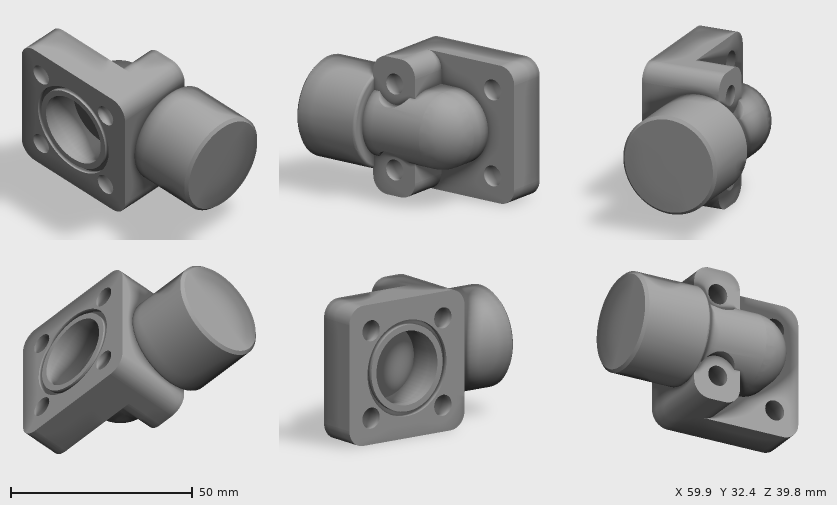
import cadquery as cq

flange_side = 39.8
flange_thickness = 11.55
corner_radius = 4.85
flange_center_x = flange_side / 2

block_start_x = 25.3
block_depth = 23.5

pipe_radius = 10.85
pipe_axis_y = 18.0

outlet_start_x = 39.5
outlet_end_x = 59.9
outlet_radius = 14.4
outlet_chamfer = 0.85
outlet_rounding = 0.8

hole_spacing = 24.8
hole_diameter = 6
spot_face_radius = 6

bore_radius = 10.55
bore_depth = 10.8
groove_outer_radius = 13.65
groove_inner_radius = 12.3
groove_depth = 1.5


def cylinder_y(radius, start_y, length, x=flange_center_x, z=0):
    """Cylinder running along +Y."""
    return cq.Workplane(cq.Solid.makeCylinder(radius, length, cq.Vector(x, start_y, z), cq.Vector(0, 1, 0)))


def rounded_plate(start_x, depth):
    """Full-height plate from start_x to the flange's +X side, with rounded corners."""
    width = flange_side - start_x
    plate = cq.Workplane("XY").box(width, depth, flange_side)
    return plate.edges("|Y").fillet(corner_radius).translate((start_x + width / 2, depth / 2, 0))


def elbow():
    """Inlet leg, quarter-sphere turn, outlet leg and the flat-sided web joining it to the flange."""
    inlet_leg = cylinder_y(pipe_radius, 0, pipe_axis_y)
    turn = (
        cq.Workplane("XZ", origin=(flange_center_x, pipe_axis_y, 0))
        .moveTo(0, -pipe_radius)
        .threePointArc((-pipe_radius, 0), (0, pipe_radius))
        .close()
        .revolve(90, (0, 0), (0, -1))
    )
    outlet_leg_length = flange_side - flange_center_x
    outlet_leg = (
        cq.Workplane("YZ", origin=(flange_center_x, pipe_axis_y, 0))
        .circle(pipe_radius)
        .extrude(outlet_leg_length)
    )
    web = (
        cq.Workplane("XY")
        .box(outlet_leg_length, pipe_axis_y, 2 * pipe_radius, centered=(False, False, True))
        .translate((flange_center_x, 0, 0))
    )
    return inlet_leg.union(web).union(outlet_leg).union(turn)


def outlet():
    """Outlet cylinder with a chamfered free rim and a rounded rim at the pipe."""
    return (
        cq.Workplane("YZ", origin=(outlet_start_x, pipe_axis_y, 0))
        .circle(outlet_radius)
        .extrude(outlet_end_x - outlet_start_x)
        .faces(">X")
        .chamfer(outlet_chamfer)
        .faces("<X")
        .edges()
        .fillet(outlet_rounding)
    )


body = rounded_plate(0, flange_thickness).union(rounded_plate(block_start_x, block_depth)).union(elbow())

spot_face_x = flange_center_x + hole_spacing / 2
for side in (-1, 1):
    body = body.cut(cylinder_y(spot_face_radius, block_depth, pipe_radius, spot_face_x, side * hole_spacing / 2))

body = body.union(outlet())

for x_side in (-1, 1):
    for z_side in (-1, 1):
        hole_x = flange_center_x + x_side * hole_spacing / 2
        hole_z = z_side * hole_spacing / 2
        body = body.cut(cylinder_y(hole_diameter / 2, 0, block_depth, hole_x, hole_z))

groove = cylinder_y(groove_outer_radius, 0, groove_depth).cut(cylinder_y(groove_inner_radius, 0, groove_depth))
result = body.cut(cylinder_y(bore_radius, 0, bore_depth)).cut(groove)